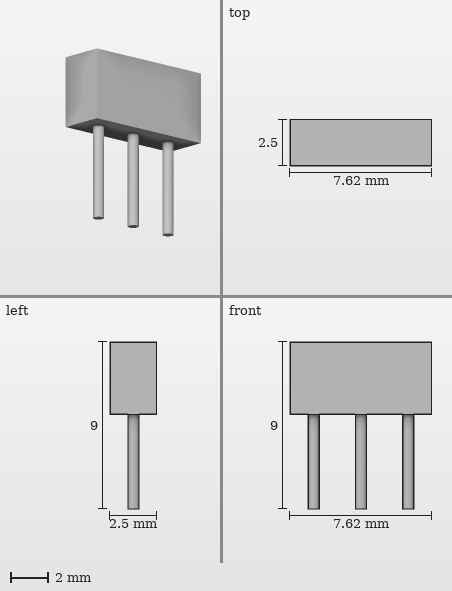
import cadquery as cq

total_height = 9.0
body_length = 7.62
body_width = 2.5
body_height = 3.9

pin_count = 3
pin_pitch = 2.55
pin_diameter = 0.6
pin_length = total_height - body_height


def make_body():
    """Rectangular housing with its underside at Z = 0."""
    return cq.Workplane("XY").box(body_length, body_width, body_height, centered=(True, True, False))


def make_pin(x):
    """Straight round pin hanging from the underside of the housing."""
    return cq.Workplane("XY").center(x, 0).circle(pin_diameter / 2).extrude(-pin_length)


body = make_body()

first_pin_x = -pin_pitch * (pin_count - 1) / 2
pins = []
for index in range(pin_count):
    pin = make_pin(first_pin_x + index * pin_pitch)
    pins.append(pin.val())

result = cq.Compound.makeCompound([body.val(), *pins])